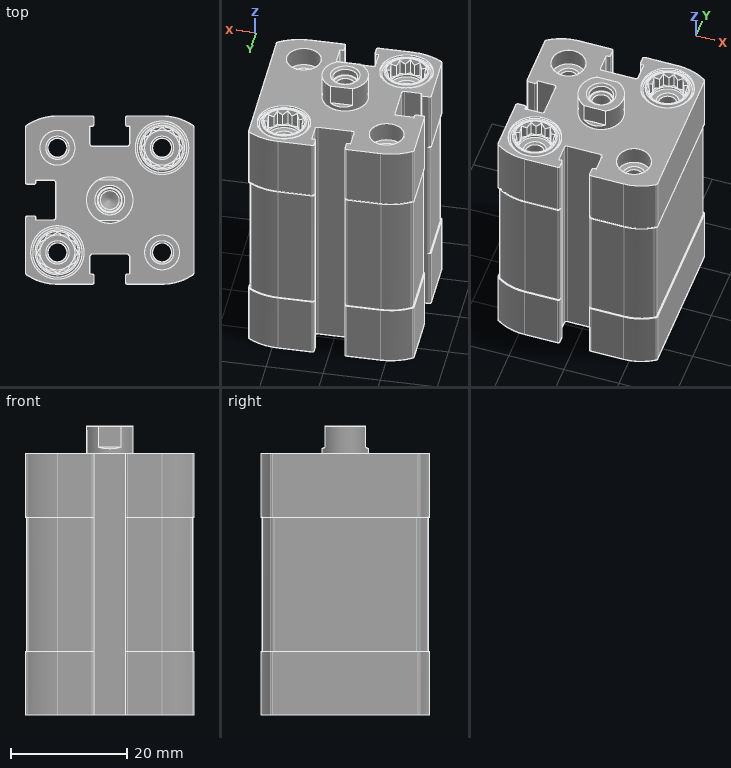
import cadquery as cq
import math

cap_width = 29.0
barrel_inset = 0.2
housing_height = 45.0
upper_cap_height = 11.0
lower_cap_height = 10.9
barrel_height = housing_height - upper_cap_height - lower_cap_height

corner_arc_start = 9.0
cap_corner_radius = 9.5
cap_corner_fillet = 0.5
barrel_corner_fillet = 0.7

slot_opening = 5.4
slot_width = 6.8
slot_lip_depth = 1.8
slot_depth = 5.2
slot_lip_fillet = 0.35
slot_floor_fillet = 0.4
slot_angles = (0, 90, 180)
selection_margin = 0.1

hole_offset = 9.0
thread_diameter = 4.0
thread_core_diameter = 3.24
counterbore_diameter = 6.0
counterbore_depth = 3.5

socket_corners = [(hole_offset, hole_offset), (-hole_offset, -hole_offset)]
plain_corners = [(-hole_offset, hole_offset), (hole_offset, -hole_offset)]
moat_diameter = 9.2
moat_depth = 0.4
head_diameter = 8.5
crest_diameter = 7.7
mouth_diameter = 7.2
star_points = 12
star_tip_diameter = 7.0
star_root_diameter = 6.2
star_depth = 3.0
star_chamfer_depth = 0.8

rod_diameter = 8.0
rod_projection = 4.7
rod_insertion = upper_cap_height
rod_top = housing_height + rod_projection
flat_spacing = 7.0
flat_length = 3.6
flat_runout_angle = 30.0

centre_mouth_diameter = 5.1
centre_recess_diameter = 4.3
centre_recess_depth = 1.6
centre_hole_depth = 10.0
drill_tip_angle = 120.0


def revolved(profile):
    """Turn a list of (radius, z) points about the Z axis."""
    return cq.Workplane("XZ").polyline(profile).close().revolve(360, (0, 0, 0), (0, 1, 0))


def housing_block(inset, bottom, height, corner_fillet):
    """Prism with two flat X faces, two flat Y faces and arced corners."""
    half = cap_width / 2 - inset
    radius = cap_corner_radius - inset
    arc_center_y = half - radius
    end_angle = math.acos((half - corner_arc_start) / radius)
    mid_angle = (end_angle + math.pi / 2) / 2
    corner_y = arc_center_y + radius * math.sin(end_angle)
    mid_x = corner_arc_start + radius * math.cos(mid_angle)
    mid_y = arc_center_y + radius * math.sin(mid_angle)
    return (
        cq.Workplane("XY", origin=(0, 0, bottom))
        .moveTo(half, -corner_y)
        .lineTo(half, corner_y)
        .threePointArc((mid_x, mid_y), (corner_arc_start, half))
        .lineTo(-corner_arc_start, half)
        .threePointArc((-mid_x, mid_y), (-half, corner_y))
        .lineTo(-half, -corner_y)
        .threePointArc((-mid_x, -mid_y), (-corner_arc_start, -half))
        .lineTo(corner_arc_start, -half)
        .threePointArc((mid_x, -mid_y), (half, -corner_y))
        .close()
        .extrude(height)
        .edges("|Z and (<X or >X)")
        .fillet(corner_fillet)
    )


def slot_cutter(face, bottom, height):
    """T-slot opening through the +Y face at y = face, with rounded lips and floor corners."""
    floor = cap_width / 2 - slot_depth
    lip = cap_width / 2 - slot_lip_depth
    half_opening = slot_opening / 2
    half_width = slot_width / 2
    half_mouth = half_opening + slot_lip_fillet
    base = cq.Workplane("XY", origin=(0, 0, bottom))
    channel = (
        base.moveTo(0, (floor + lip) / 2)
        .rect(slot_width, lip - floor)
        .extrude(height)
        .edges("|Z and <Y")
        .fillet(slot_floor_fillet)
    )
    neck = base.moveTo(0, (floor + face) / 2).rect(slot_opening, face - floor).extrude(height)
    cutter = channel.union(neck)
    lip_edges = cq.selectors.BoxSelector(
        (-half_opening - selection_margin, lip - selection_margin, bottom),
        (half_opening + selection_margin, lip + selection_margin, bottom + height),
    )
    cutter = cutter.edges("|Z").edges(lip_edges).fillet(slot_lip_fillet)
    for side in (-1, 1):
        flare = (
            base.moveTo(side * half_opening, face - slot_lip_fillet)
            .radiusArc((side * half_mouth, face), side * slot_lip_fillet)
            .lineTo(side * half_opening, face)
            .close()
            .extrude(height)
        )
        cutter = cutter.union(flare)
    return cutter


def slotted_block(inset, bottom, height, corner_fillet):
    """Housing block with a T-slot in its +Y, -X and -Y faces."""
    block = housing_block(inset, bottom, height, corner_fillet)
    cutter = slot_cutter(cap_width / 2 - inset, bottom, height)
    for angle in slot_angles:
        block = block.cut(cutter.rotate((0, 0, 0), (0, 0, 1), angle))
    return block


def corner_hole_cutter():
    """Counterbored through hole with a countersunk thread core."""
    shoulder = housing_height - counterbore_depth
    thread_radius = thread_diameter / 2
    core_radius = thread_core_diameter / 2
    return revolved([
        (0, 0),
        (core_radius, 0),
        (core_radius, shoulder - (thread_radius - core_radius)),
        (thread_radius, shoulder),
        (counterbore_diameter / 2, shoulder),
        (counterbore_diameter / 2, housing_height),
        (0, housing_height),
    ])


def socket_cutter():
    """Moat around a socket head, its countersunk mouth and its twelve-point recess."""
    moat_floor = housing_height - moat_depth
    tip_radius = star_tip_diameter / 2
    root_radius = star_root_diameter / 2
    surround = revolved([
        (crest_diameter / 2, housing_height),
        (head_diameter / 2, moat_floor),
        (moat_diameter / 2, moat_floor),
        (moat_diameter / 2, housing_height),
    ])
    mouth = revolved([
        (0, housing_height - star_chamfer_depth),
        (root_radius, housing_height - star_chamfer_depth),
        (mouth_diameter / 2, housing_height),
        (0, housing_height),
    ])
    star = []
    for step in range(2 * star_points):
        radius = root_radius if step % 2 else tip_radius
        angle = math.pi * step / star_points
        star.append((radius * math.cos(angle), radius * math.sin(angle)))
    socket = (
        cq.Workplane("XY", origin=(0, 0, housing_height - star_depth))
        .polyline(star)
        .close()
        .extrude(star_depth)
    )
    return surround.union(mouth).union(socket)


def make_housing():
    """Caps and barrel in one piece, with corner holes, sockets and a blind hole for the rod."""
    barrel_bottom = lower_cap_height
    barrel_top = housing_height - upper_cap_height
    housing = slotted_block(0, 0, lower_cap_height, cap_corner_fillet)
    housing = housing.union(slotted_block(barrel_inset, barrel_bottom, barrel_height, barrel_corner_fillet))
    housing = housing.union(slotted_block(0, barrel_top, upper_cap_height, cap_corner_fillet))
    for x, y in plain_corners + socket_corners:
        housing = housing.cut(corner_hole_cutter().translate((x, y, 0)))
    for x, y in socket_corners:
        housing = housing.cut(socket_cutter().translate((x, y, 0)))
    rod_hole = (
        cq.Workplane("XY", origin=(0, 0, housing_height - rod_insertion))
        .circle(rod_diameter / 2)
        .extrude(rod_insertion)
    )
    return housing.cut(rod_hole)


def wrench_flat_cutter():
    """Material removed beside the -Y wrench flat, ending in a sloped run-out."""
    flat_y = flat_spacing / 2
    radius = rod_diameter / 2
    flat_bottom = rod_top - flat_length
    runout = (radius - flat_y) * math.tan(math.radians(flat_runout_angle))
    return (
        cq.Workplane("YZ")
        .polyline([
            (-flat_y, rod_top),
            (-flat_y, flat_bottom),
            (-radius, flat_bottom - runout),
            (-radius, rod_top),
        ])
        .close()
        .extrude(radius, both=True)
    )


def centre_hole_cutter():
    """Countersunk recess, thread core and drill tip along the rod axis."""
    mouth_radius = centre_mouth_diameter / 2
    recess_radius = centre_recess_diameter / 2
    thread_radius = thread_diameter / 2
    core_radius = thread_core_diameter / 2
    shoulder = rod_top - centre_recess_depth
    hole_bottom = rod_top - centre_hole_depth
    tip_length = core_radius / math.tan(math.radians(drill_tip_angle / 2))
    return revolved([
        (0, hole_bottom - tip_length),
        (core_radius, hole_bottom),
        (core_radius, shoulder - (thread_radius - core_radius)),
        (thread_radius, shoulder),
        (recess_radius, shoulder),
        (recess_radius, rod_top - (mouth_radius - recess_radius)),
        (mouth_radius, rod_top),
        (0, rod_top),
    ])


def make_rod():
    """Rod with two wrench flats and a threaded centre hole."""
    rod = (
        cq.Workplane("XY", origin=(0, 0, housing_height - rod_insertion))
        .circle(rod_diameter / 2)
        .extrude(rod_insertion + rod_projection)
    )
    flat = wrench_flat_cutter()
    rod = rod.cut(flat).cut(flat.mirror("XZ"))
    return rod.cut(centre_hole_cutter())


housing = make_housing()
rod = make_rod()

result = cq.Compound.makeCompound([housing.val(), rod.val()])